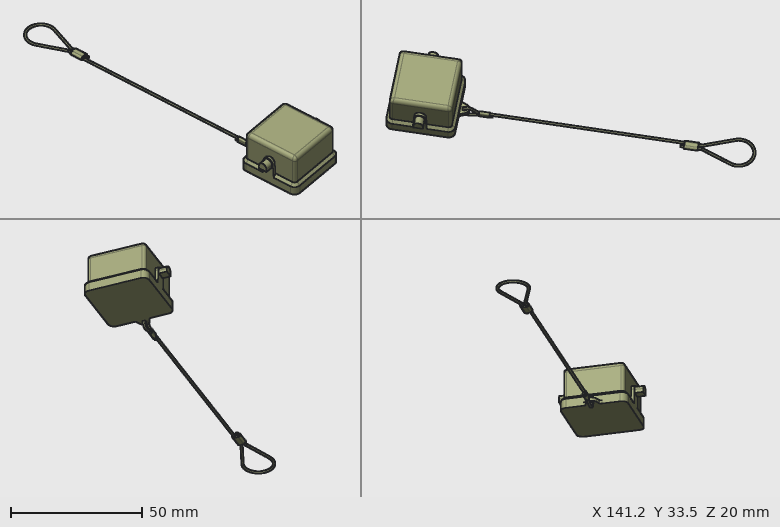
import cadquery as cq
import math


flange_size = 26.7
flange_bevel = 1.3
flange_top = 5.1
flange_corner_radius = 2.5
body_size = flange_size - 2 * flange_bevel
body_corner_radius = flange_corner_radius - flange_bevel
cap_height = 17.5
top_fillet = 1.7
flange_half = flange_size / 2

pin_span = 33.5
pin_half_width = 1.8
pin_crown_rise = 1.7
pin_shoulder_z = 10.0
pin_flat_z = 8.5
pad_half_width = 2.3
pad_crown_rise = 2.1
pad_foot_half_width = 2.7

lug_thickness = 1.4
lug_reach = 3.5
lug_tip_radius = 2.1
lug_taper = math.radians(24)
lug_root_fillet = 0.8
lug_anchor_depth = 2.8
lug_anchor_width = flange_size / 2
root_pick_margin = 0.1
eye_radius = 0.8
eye_distance = 1.5

total_length = 141.2
cable_radius = 0.5
ring_outer_radius = 2.5
ring_distance = 3.1
ring_strand_gap = 1.1
loop_outer_radius = 6.5
loop_strand_gap = 1.7
loop_neck_distance = 20.5
loop_left_x = flange_half - total_length

ring_ferrule_near = 7.3
ring_ferrule_length = 4.1
ring_ferrule_radius = 0.7
ring_tail = 1.1
loop_ferrule_near = 22.2
loop_ferrule_length = 5.4
loop_ferrule_radius = 0.92
loop_tail = 1.4


def rounded_block(size, height, corner_radius):
    block = cq.Workplane("XY").rect(size, size).extrude(height)
    return block.edges("|Z").fillet(corner_radius)


def make_cap():
    flange = rounded_block(flange_size, flange_top, flange_corner_radius)
    flange = flange.faces(">Z").edges().chamfer(flange_bevel)
    body = rounded_block(body_size, cap_height, body_corner_radius)
    body = body.faces(">Z").edges().fillet(top_fillet)
    return flange.union(body)


def make_pads():
    """Arched pads on both sides, flush with the flange."""
    return (
        cq.Workplane("XZ")
        .moveTo(-pad_foot_half_width, 0)
        .lineTo(-pad_foot_half_width, flange_top - flange_bevel)
        .lineTo(-pad_half_width, pin_shoulder_z)
        .threePointArc((0, pin_shoulder_z + pad_crown_rise), (pad_half_width, pin_shoulder_z))
        .lineTo(pad_foot_half_width, flange_top - flange_bevel)
        .lineTo(pad_foot_half_width, 0)
        .close()
        .extrude(flange_half, both=True)
    )


def make_pins():
    """Round-topped pins with a flat underside."""
    return (
        cq.Workplane("XZ")
        .moveTo(-pin_half_width, pin_flat_z)
        .lineTo(-pin_half_width, pin_shoulder_z)
        .threePointArc((0, pin_shoulder_z + pin_crown_rise), (pin_half_width, pin_shoulder_z))
        .lineTo(pin_half_width, pin_flat_z)
        .close()
        .extrude(pin_span / 2, both=True)
    )


def make_lug():
    face_x = -flange_half
    tip_x = face_x - lug_reach
    tangent_x = tip_x + lug_tip_radius * (1 - math.sin(lug_taper))
    tangent_y = lug_tip_radius * math.cos(lug_taper)
    root_y = tangent_y + (face_x - tangent_x) * math.tan(lug_taper)
    anchor = cq.Workplane("XY", origin=(face_x, 0, 0)).box(
        lug_anchor_depth, lug_anchor_width, lug_thickness, centered=(False, True, False)
    )
    tongue = (
        cq.Workplane("XY")
        .moveTo(face_x, -root_y)
        .lineTo(tangent_x, -tangent_y)
        .threePointArc((tip_x, 0), (tangent_x, tangent_y))
        .lineTo(face_x, root_y)
        .close()
        .extrude(lug_thickness)
    )
    lug = tongue.union(anchor)
    root_edges = cq.selectors.BoxSelector(
        (face_x - root_pick_margin, -root_y - root_pick_margin, 0),
        (face_x + root_pick_margin, root_y + root_pick_margin, lug_thickness),
    )
    lug = lug.edges("|Z").edges(root_edges).fillet(lug_root_fillet)
    eye = cq.Workplane("XY").center(face_x - eye_distance, 0).circle(eye_radius).extrude(lug_thickness)
    return lug.cut(eye)


def tangent_point(center, radius, point, side):
    """Point where the line from `point` touches the circle; side is +1 or -1."""
    dx = point[0] - center[0]
    dy = point[1] - center[1]
    angle = math.atan2(dy, dx) + side * math.acos(radius / math.hypot(dx, dy))
    return (center[0] + radius * math.cos(angle), center[1] + radius * math.sin(angle))


def make_strand(plane, start_x, neck_x, center, radius, gap, tail_x):
    """Cable from start_x to the neck, round the eyelet circle and back to tail_x.

    The start strand lies on the X axis and the tail strand at height `gap`.
    """
    start_neck = (neck_x, 0)
    tail_neck = (neck_x, gap)
    outward = math.copysign(1, center[0] - neck_x)
    side = math.copysign(1, gap) * outward
    first_touch = tangent_point(center, radius, start_neck, side)
    last_touch = tangent_point(center, radius, tail_neck, -side)
    far_point = (center[0] + outward * radius, center[1])
    path = (
        cq.Workplane(plane)
        .moveTo(start_x, 0)
        .lineTo(*start_neck)
        .lineTo(*first_touch)
        .threePointArc(far_point, last_touch)
        .lineTo(*tail_neck)
        .lineTo(tail_x, gap)
    )
    return (
        cq.Workplane("YZ", origin=(start_x, 0, 0))
        .circle(cable_radius)
        .sweep(path, transition="round")
    )


def make_ferrule(start_x, length, gap, radius):
    """Crimp sleeve of oval section around two strands side by side along Y."""
    return (
        cq.Workplane("YZ", origin=(start_x, gap / 2, 0))
        .slot2D(gap + 2 * radius, 2 * radius)
        .extrude(length)
    )


def make_tether():
    middle_x = (loop_left_x - flange_half) / 2

    ring_ferrule_right = -flange_half - ring_ferrule_near
    ring_ferrule_left = ring_ferrule_right - ring_ferrule_length
    ring = make_strand(
        "XZ", middle_x, ring_ferrule_right + cable_radius,
        (-flange_half - ring_distance, 0), ring_outer_radius - cable_radius,
        -ring_strand_gap, ring_ferrule_left - ring_tail,
    )
    ring_ferrule = make_ferrule(
        ring_ferrule_left, ring_ferrule_length, ring_strand_gap, ring_ferrule_radius
    ).rotate((0, 0, 0), (1, 0, 0), -90)

    loop_ferrule_left = loop_left_x + loop_ferrule_near
    loop_ferrule_right = loop_ferrule_left + loop_ferrule_length
    loop = make_strand(
        "XY", middle_x, loop_left_x + loop_neck_distance,
        (loop_left_x + loop_outer_radius, loop_strand_gap / 2), loop_outer_radius - cable_radius,
        loop_strand_gap, loop_ferrule_right + loop_tail,
    )
    loop_ferrule = make_ferrule(
        loop_ferrule_left, loop_ferrule_length, loop_strand_gap, loop_ferrule_radius
    )
    return ring.union(ring_ferrule).union(loop).union(loop_ferrule)


result = make_cap().union(make_pads()).union(make_pins()).union(make_lug()).union(make_tether())